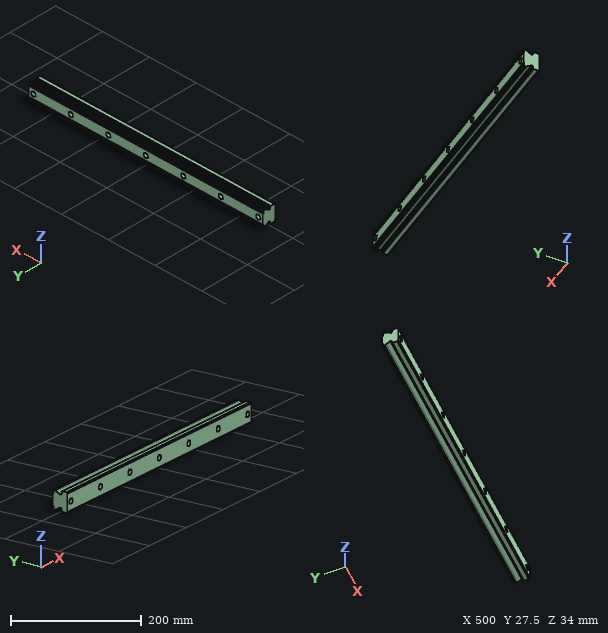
import cadquery as cq

length = 500.0
depth = 27.5
half_height = 17.0

foot_chamfer = 2.0
foot_depth = 11.0
foot_inner_chamfer = 1.0

groove_half_height = 11.0
groove_floor_front = 12.5
groove_floor_rear = 13.5
flank_front_half_height = 13.0
flank_rear_y = 20.5
flank_rear_half_height = 15.0

lip_front_y = 23.0
lip_foot_half_height = 16.0
lip_chamfer = 1.5
notch_depth = 1.5
notch_outer = 14.5
notch_inner = 11.0

hole_diameter = 9.0
hole_count = 7
hole_end_distance = 10.0
hole_pitch = (length - 2 * hole_end_distance) / (hole_count - 1)


def make_profile():
    """Closed (Y, Z) outline, symmetric about Z = 0."""
    upper = [
        (0, half_height - foot_chamfer),
        (foot_chamfer, half_height),
        (foot_depth - foot_inner_chamfer, half_height),
        (foot_depth, half_height - foot_inner_chamfer),
        (foot_depth, flank_front_half_height),
        (groove_floor_front, groove_half_height),
        (groove_floor_rear, groove_half_height),
        (flank_rear_y, flank_rear_half_height),
        (lip_front_y, lip_foot_half_height),
        (lip_front_y, half_height),
        (depth - lip_chamfer, half_height),
        (depth, half_height - lip_chamfer),
        (depth, notch_outer),
        (depth - notch_depth, notch_outer),
        (depth - notch_depth, notch_inner),
        (depth, notch_inner),
    ]
    lower = [(y, -z) for y, z in reversed(upper)]
    return cq.Workplane("YZ").polyline(upper + lower).close()


def make_holes():
    """Cylinders along Y at every mounting position."""
    positions = [(hole_end_distance + i * hole_pitch, 0) for i in range(hole_count)]
    return cq.Workplane("XZ").pushPoints(positions).circle(hole_diameter / 2).extrude(-depth)


rail = make_profile().extrude(length)
result = rail.cut(make_holes())